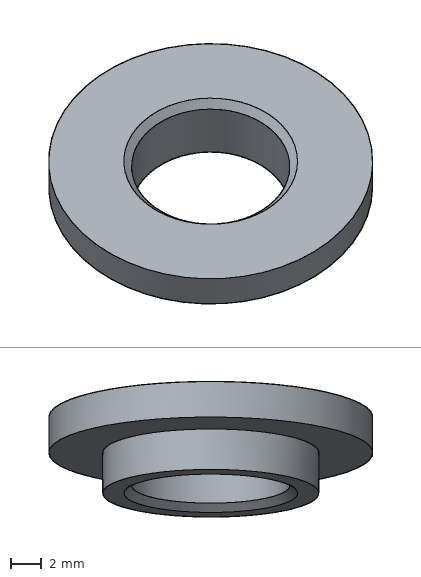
import cadquery as cq

flange_diameter = 21.0
total_height = 5.06
flange_thickness = 2.37
boss_diameter = 14.0

bore_diameter = 10.25
bore_chamfer = 0.5

boss_height = total_height - flange_thickness

boss = cq.Workplane("XY").circle(boss_diameter / 2).extrude(boss_height)
flange = (
    cq.Workplane("XY")
    .workplane(offset=boss_height)
    .circle(flange_diameter / 2)
    .extrude(flange_thickness)
)
body = boss.union(flange)

bore = cq.Workplane("XY").circle(bore_diameter / 2).extrude(total_height)
bushing = body.cut(bore)

bore_mouths = cq.selectors.RadiusNthSelector(0)
result = bushing.edges("%CIRCLE").edges(bore_mouths).chamfer(bore_chamfer)